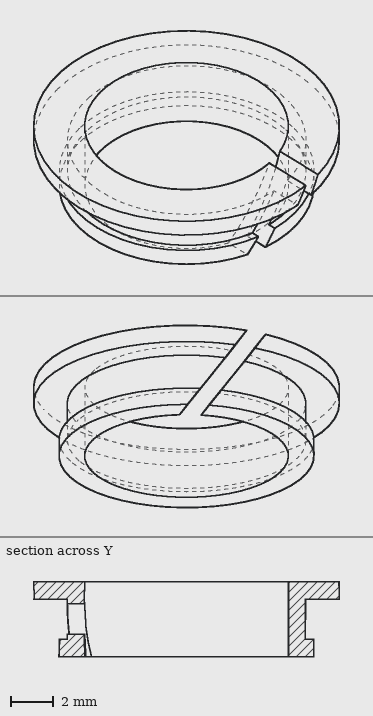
import cadquery as cq
import math

height = 3.52
bore_diameter = 9.52

top_flange_diameter = 14.29
bottom_flange_diameter = 11.92
groove_diameter = 11.15
flange_thickness = 0.83
groove_width = height - 2 * flange_thickness

split_gap = 0.8
split_angle = 35.0


def flanged_ring():
    """Stack the flanges and groove wall upward from Z = 0, then bore through."""
    return (
        cq.Workplane("XY")
        .circle(bottom_flange_diameter / 2)
        .extrude(flange_thickness)
        .faces(">Z").workplane()
        .circle(groove_diameter / 2)
        .extrude(groove_width)
        .faces(">Z").workplane()
        .circle(top_flange_diameter / 2)
        .extrude(flange_thickness)
        .faces(">Z").workplane()
        .hole(bore_diameter)
    )


def split_cutter():
    """Slanted slab centred on the ring's mid-height, running from the axis out past +X."""
    half_gap = split_gap / math.cos(math.radians(split_angle)) / 2
    end_shift = height / 2 * math.tan(math.radians(split_angle))
    return (
        cq.Workplane("YZ")
        .polyline([
            (-end_shift - half_gap, 0),
            (-end_shift + half_gap, 0),
            (end_shift + half_gap, height),
            (end_shift - half_gap, height),
        ])
        .close()
        .extrude(top_flange_diameter)
    )


result = flanged_ring().cut(split_cutter())